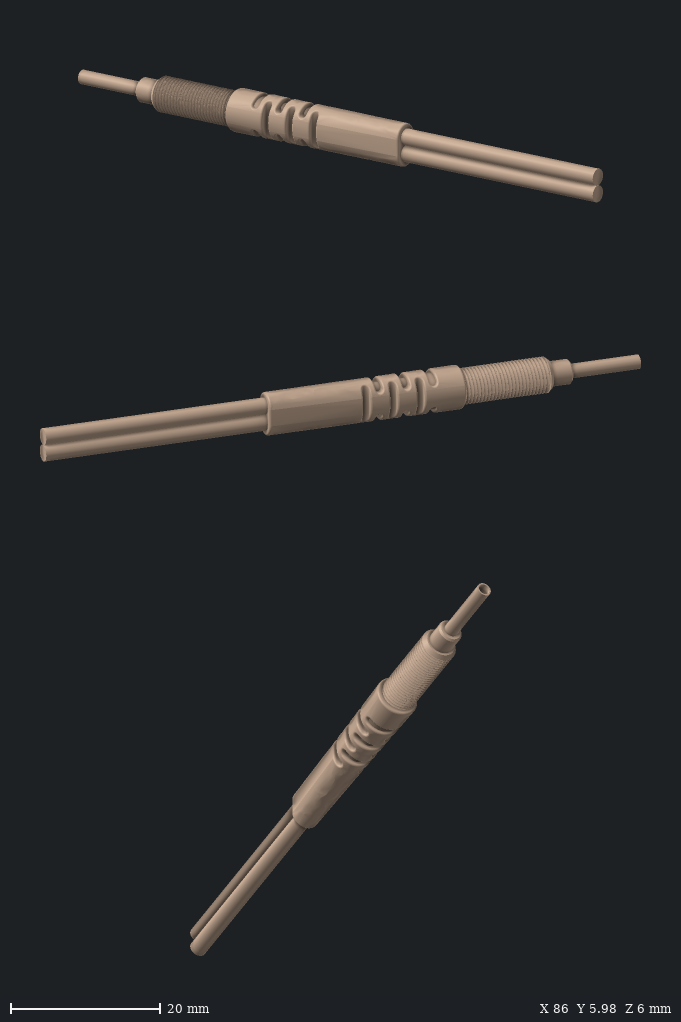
import cadquery as cq
import math

TOTAL_LENGTH = 86.0

CABLE_RADIUS = 1.16
CABLE_HEIGHTS = (CABLE_RADIUS, -CABLE_RADIUS)

TUBE_RADIUS = 0.99
TUBE_BORE_RADIUS = 0.8

COLLAR_START = 10.0
COLLAR_RADIUS = 1.7
COLLAR_CHAMFER = 0.3
LEAD_IN_START = 13.0
LEAD_IN_LENGTH = 0.56
THREAD_RADIUS = 2.5
THREAD_PITCH = 0.5
THREAD_ANGLE = 60.0
NECK_LENGTH = 0.3
SPIGOT_END = 31.1

BOOT_START = 26.0
BOOT_END = 54.0
BOOT_RADIUS = 3.0
BOOT_END_HALF_WIDTH = 1.9
BOOT_EDGE_FILLET = 0.3

SLOT_COUNT = 6
FIRST_SLOT_X = 30.45
SLOT_PITCH = 1.935
SLOT_WIDTH = 1.0
UPPER_SLOT_FLOOR = 1.5
SIDE_SLOT_FLOOR = 1.3
SLOT_MOUTH_FILLET = 0.3

LEAD_IN_END = LEAD_IN_START + LEAD_IN_LENGTH
NECK_START = BOOT_START - NECK_LENGTH
THREAD_DEPTH = THREAD_PITCH / 2 / math.tan(math.radians(THREAD_ANGLE / 2))
THREAD_ROOT_RADIUS = THREAD_RADIUS - THREAD_DEPTH
SLOT_HALF_WIDTH = SLOT_WIDTH / 2
SLOT_REACH = 2 * BOOT_RADIUS

X_AXIS = ((0, 0, 0), (1, 0, 0))
SPIRAL_STEPS = 24
EDGE_TOLERANCE = 0.01


def rod(start, end, radius, height=0.0):
    """A cylinder parallel to X, with its axis at the given height."""
    return cq.Workplane("YZ", origin=(start, 0, height)).circle(radius).extrude(end - start)


def make_cable(height):
    return rod(SPIGOT_END, TOTAL_LENGTH, CABLE_RADIUS, height)


def make_tube():
    return rod(0, SPIGOT_END, TUBE_RADIUS).cut(rod(0, SPIGOT_END, TUBE_BORE_RADIUS))


def spiral_points(start_angle, start_radius, end_radius):
    """Points over half a turn, with the radius changing evenly with the angle."""
    points = []
    for step in range(SPIRAL_STEPS + 1):
        fraction = step / SPIRAL_STEPS
        angle = start_angle + math.pi * fraction
        radius = start_radius + (end_radius - start_radius) * fraction
        points.append((radius * math.cos(angle), radius * math.sin(angle)))
    return points


def make_thread():
    """A sharp V-thread: its cross-section, two mirrored spirals, is twisted once per pitch."""
    rising_flank = spiral_points(0, THREAD_ROOT_RADIUS, THREAD_RADIUS)
    falling_flank = spiral_points(math.pi, THREAD_RADIUS, THREAD_ROOT_RADIUS)
    length = NECK_START - LEAD_IN_END
    return (
        cq.Workplane("YZ", origin=(LEAD_IN_END, 0, 0))
        .spline(rising_flank)
        .spline(falling_flank)
        .wire()
        .twistExtrude(length, 360 * length / THREAD_PITCH)
    )


def make_lead_in():
    """A cone from the thread root up to the thread crest."""
    return (
        cq.Workplane("YZ", origin=(LEAD_IN_START, 0, 0))
        .circle(THREAD_ROOT_RADIUS)
        .workplane(offset=LEAD_IN_LENGTH)
        .circle(THREAD_RADIUS)
        .loft()
    )


def make_sleeve():
    collar = rod(COLLAR_START, LEAD_IN_START, COLLAR_RADIUS).faces("<X").chamfer(COLLAR_CHAMFER)
    neck = rod(NECK_START, BOOT_START, THREAD_ROOT_RADIUS)
    spigot = rod(BOOT_START, SPIGOT_END, THREAD_RADIUS)
    sleeve = make_thread().union(make_lead_in()).union(collar).union(neck).union(spigot)
    return sleeve.cut(rod(COLLAR_START, SPIGOT_END, TUBE_RADIUS))


def make_boot_blank():
    """A loft from a circle to a section with flat sides and round top and bottom."""
    corner_z = CABLE_RADIUS
    start_y = math.sqrt(BOOT_RADIUS**2 - corner_z**2)
    end_y = BOOT_END_HALF_WIDTH
    return (
        cq.Workplane("YZ", origin=(BOOT_START, 0, 0))
        .moveTo(start_y, -corner_z)
        .threePointArc((BOOT_RADIUS, 0), (start_y, corner_z))
        .threePointArc((0, BOOT_RADIUS), (-start_y, corner_z))
        .threePointArc((-BOOT_RADIUS, 0), (-start_y, -corner_z))
        .threePointArc((0, -BOOT_RADIUS), (start_y, -corner_z))
        .close()
        .workplane(offset=BOOT_END - BOOT_START)
        .moveTo(end_y, -corner_z)
        .lineTo(end_y, corner_z)
        .threePointArc((0, BOOT_RADIUS), (-end_y, corner_z))
        .lineTo(-end_y, -corner_z)
        .threePointArc((0, -BOOT_RADIUS), (end_y, -corner_z))
        .close()
        .loft(ruled=True)
    )


def slot_cutter(x, floor):
    """A cutter for a slot that opens upward, with a half-round floor."""
    return (
        cq.Workplane("XZ")
        .moveTo(x - SLOT_HALF_WIDTH, SLOT_REACH)
        .lineTo(x - SLOT_HALF_WIDTH, floor + SLOT_HALF_WIDTH)
        .threePointArc((x, floor), (x + SLOT_HALF_WIDTH, floor + SLOT_HALF_WIDTH))
        .lineTo(x + SLOT_HALF_WIDTH, SLOT_REACH)
        .close()
        .extrude(SLOT_REACH, both=True)
    )


def slot_mouth_edges(boot, x):
    """The curved edges within a slot's width, where its faces meet the outside of the boot."""
    reach = SLOT_HALF_WIDTH + EDGE_TOLERANCE
    mouth_edges = []
    for edge in boot.edges().vals():
        box = edge.BoundingBox()
        inside_slot = x - reach < box.xmin and box.xmax < x + reach
        if inside_slot and edge.geomType() != "LINE":
            mouth_edges.append(edge)
    return mouth_edges


def cut_slot_pair(boot, x, floor, angle):
    """Cut two opposite slots, turned about X from the upright, and round their mouths."""
    cutter = slot_cutter(x, floor)
    boot = boot.cut(cutter.rotate(*X_AXIS, angle)).cut(cutter.rotate(*X_AXIS, angle + 180))
    return boot.newObject(slot_mouth_edges(boot, x)).fillet(SLOT_MOUTH_FILLET)


def make_boot():
    boot = make_boot_blank().faces("<X or >X").edges().fillet(BOOT_EDGE_FILLET)
    for index in range(SLOT_COUNT):
        x = FIRST_SLOT_X + index * SLOT_PITCH
        if index % 2 == 0:
            boot = cut_slot_pair(boot, x, UPPER_SLOT_FLOOR, 0)
        else:
            boot = cut_slot_pair(boot, x, SIDE_SLOT_FLOOR, 90)
    boot = boot.cut(rod(BOOT_START, SPIGOT_END, THREAD_RADIUS))
    for height in CABLE_HEIGHTS:
        boot = boot.cut(rod(SPIGOT_END, BOOT_END, CABLE_RADIUS, height))
    return boot


tube = make_tube()
sleeve = make_sleeve()
boot = make_boot()
cables = [make_cable(height) for height in CABLE_HEIGHTS]

bodies = [tube, sleeve, boot, *cables]
result = cq.Compound.makeCompound([body.solids().val() for body in bodies])